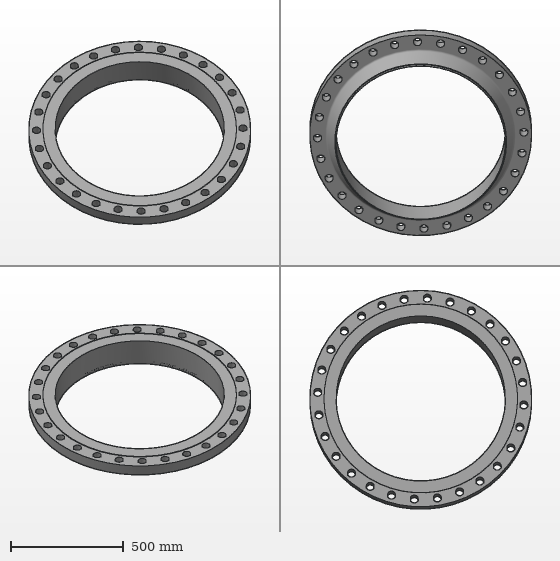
import cadquery as cq

outer_diameter = 984.0
total_height = 132.0
bore_diameter = 750.0

plate_thickness = 52.0
raised_face_diameter = 858.0
raised_face_height = 3.0

hub_top_diameter = 831.0
hub_fillet_radius = 10.0
weld_end_diameter = 762.0
weld_end_bevel = 5.0
weld_end_height = 12.0

bolt_count = 28
bolt_circle_diameter = 915.0
bolt_hole_diameter = 35.0

plate_top = total_height - raised_face_height
plate_bottom = plate_top - plate_thickness

selection_margin = 1.0


def make_body():
    """Revolve the flange half-section about Z."""
    bore_radius = bore_diameter / 2
    weld_end_radius = weld_end_diameter / 2
    profile = (
        cq.Workplane("XZ")
        .moveTo(bore_radius, 0)
        .lineTo(weld_end_radius - weld_end_bevel, 0)
        .lineTo(weld_end_radius, weld_end_bevel)
        .lineTo(weld_end_radius, weld_end_height)
        .lineTo(hub_top_diameter / 2, plate_bottom)
        .lineTo(outer_diameter / 2, plate_bottom)
        .lineTo(outer_diameter / 2, plate_top)
        .lineTo(raised_face_diameter / 2, plate_top)
        .lineTo(raised_face_diameter / 2, total_height)
        .lineTo(bore_radius, total_height)
        .close()
    )
    return profile.revolve(360, (0, 0, 0), (0, 1, 0))


def round_hub_root(body):
    """Fillet the circle where the hub meets the underside of the plate."""
    reach = hub_top_diameter / 2 + selection_margin
    root_zone = cq.selectors.BoxSelector(
        (-reach, -reach, plate_bottom - selection_margin),
        (reach, reach, plate_bottom + selection_margin),
        boundingbox=True,
    )
    return body.edges("%CIRCLE").edges(root_zone).fillet(hub_fillet_radius)


def make_bolt_holes():
    """Cylinders through the plate, one of them on the X axis."""
    return (
        cq.Workplane("XY")
        .workplane(offset=plate_bottom)
        .polarArray(bolt_circle_diameter / 2, 0, 360, bolt_count)
        .circle(bolt_hole_diameter / 2)
        .extrude(plate_thickness)
    )


result = round_hub_root(make_body()).cut(make_bolt_holes())